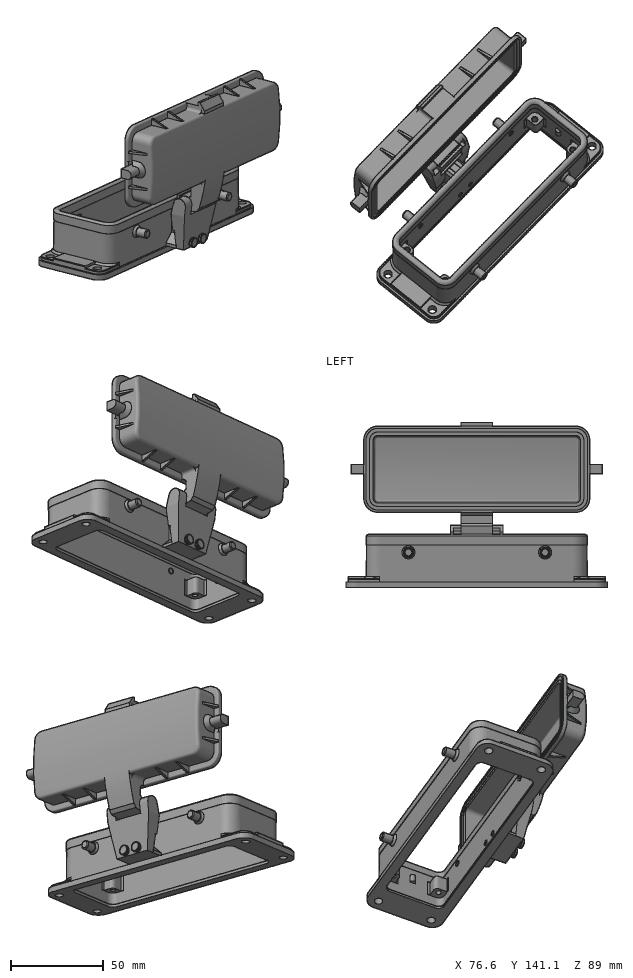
import cadquery as cq
import math


OVERLAP = 1.4

BASE_LENGTH = 141.1
BASE_WIDTH = 45.2
BASE_HEIGHT = 28.8
FLANGE_HEIGHT = 3.1
FLANGE_RADIUS = 6.3
STEP_LENGTH = 138.5
STEP_WIDTH = 42.8
STEP_TOP = 4.8
STEP_RADIUS = 5.0
WALL_LENGTH = 119.4
WALL_WIDTH = 42.8
WALL_RADIUS = 7.3
RIM_START = 23.0
WALL_DRAFT = 0.21
RIM_THICKNESS = 3.7
RIM_CROWN = 1.0
WALL_THICKNESS = 3.8
BOTTOM_LIP_HEIGHT = 1.7
BOTTOM_LIP = 0.3
SKIRT = 1.1
SKIRT_SLOPE = 45
PAD_WIDTH = 21.5
PAD_TOP = 6.0
EDGE_CHAMFER = 0.4
MOUNT_HOLE = 4.5
MOUNT_X = 16.0
MOUNT_Y = 65.0

POST_BOTTOM = 8.3
POST_TOP = 17.8
POST_INNER_X = 10.5
POST_INNER_Y = 49.2
POST_RADIUS = 2.1
POST_FIN = 1.5
POST_FIN_DEPTH = 0.3
POST_HOLE = 2.8
POST_HOLE_RIM = 3.4
POST_HOLE_X = 13.7
POST_HOLE_Y = 51.9
KEY_DIAMETER = 3.2
KEY_BOTTOM = 13.0

PEG_Y = 36.8
PEG_Z = 18.9
PEG_DIAMETER = 4.8
PEG_TIP_X = 28.8
PEG_CHAMFER = 0.5
COLLAR_BIG = 7.0
COLLAR_SMALL = 5.5
COLLAR_END_X = 22.7
PEG_TAIL = 3.2
PEG_TAIL_X = 17.1

BRACKET_BOTTOM = 3.1
BRACKET_FRONT = 28.4
BRACKET_FOOT = 21.3
BRACKET_SLOPE_START = 4.8
BRACKET_SLOPE_END = 9.6
SPINE_WIDTH = 11.0
SPINE_TOP = 23.1
SPINE_CHAMFER = 1.4
SPINE_GROOVE_WIDTH = 4.0
SPINE_GROOVE_DEPTH = 0.5
LUG_X = 27.4
LUG_BOTTOM = 13.7
BRACKET_WIDTH = 28.5
ARM_FOOT_X = 33.2
ARM_SHOULDER_X = 36.5
SHOULDER_Z = 23.8
HEAD_X = 33.2
HEAD_Z = 29.5
HEAD_RADIUS = 4.1
HEAD_TANGENT_RISE = 0.5
PIVOT_DIAMETER = 3.4
POCKET_Y = 12.4
POCKET_BACK_X = 31.7
POCKET_BOTTOM = 28.0
POCKET_TOP = 32.0
RIVET_Y = 4.1
RIVET_Z = 6.0
RIVET_HEAD = 5.5
RIVET_TIP = 4.8
RIVET_END_X = 35.8
RIVET_HEAD_LENGTH = 1.4
RIVET_RECESS = 3.0
RIVET_RECESS_DEPTH = 0.3
RIVET_TIP_LENGTH = 0.3

COVER_Z = 63.8
COVER_FACE_X = 31.3
LIP_BACK_X = 33.9
LIP_EDGE = 0.7
LIP_LENGTH = 121.9
LIP_HEIGHT = 46.5
LIP_RADIUS = 7.6
COVER_BACK_X = 47.8
CROWN_RADIUS = 112.9
SHELL_LENGTH = 115.4
SHELL_HEIGHT = 39.2
SHELL_RADIUS = 4.7
SHELL_EDGE = 1.7
SEAT_INSET = 3.2
SEAT_DEPTH = 0.5
FACE_STEP_INSET = 1.3
FACE_STEP_DEPTH = 0.3
CAVITY_INSET = 5.1
CAVITY_TAPER = 4.5
COVER_WALL = 2.1
FLOOR_FILLET = 0.7
RIB_THICKNESS = 1.3
RIB_TIP_X = 43.7
LONG_RIB_Y = (25.1, 39.5)
END_RIB_Z = 10.0
HINGE_WIDTH = 17.1
EAR_TOP = 33.2
EAR_GROOVE_BOTTOM = 32.5
EAR_GROOVE_X = (28.9, 29.8)
EAR_TIP_X = 27.2
EAR_BOTTOM = 24.0
EAR_INNER_X = 36.5
EAR_ROOT_BEVEL = 1.5
EAR_STEP_BEVEL = 1.3
EAR_FRONT_BEVEL = 0.7
EAR_BEND_X = 40.4
EAR_BEND_Z = 26.1
EAR_BACK_X = 42.5
EAR_BACK_Z = 28.6
TAB_FOOT_FILLET = 1.7
TAB_TOP = 89.0
TAB_EDGE_X = (41.3, 42.8)
TAB_BACK_X = 45.7
TAB_BACK_Z = 85.0
STUB_X = 38.1
STUB_RADIUS = 2.5
STUB_END_Y = 67.7
STUB_ROOT_RADIUS = 4.7
STUB_ROOT_Y = 60.7
STUB_ROOT_SLOPE = 40


def rounded_block(width, length, radius, bottom, top, taper=0):
    """Upright block with rounded vertical corners, centred on the Z axis."""
    outline = cq.Sketch().rect(width, length).vertices().fillet(radius)
    plane = cq.Workplane("XY").workplane(offset=bottom)
    return plane.placeSketch(outline).extrude(top - bottom, taper=taper)


def cover_block(length, height, radius, front, back, taper=0):
    """Block extruded along +X with rounded corners, centred on the cover."""
    outline = cq.Sketch().rect(length, height).vertices().fillet(radius)
    plane = cq.Workplane("YZ", origin=(front, 0, COVER_Z))
    return plane.placeSketch(outline).extrude(back - front, taper=taper)


def box(x_range, y_range, z_range):
    """Plain box between the given limits."""
    sizes = [end - start for start, end in (x_range, y_range, z_range)]
    return cq.Workplane("XY", origin=(x_range[0], y_range[0], z_range[0])).box(*sizes, centered=False)


def side_profile(points, width):
    """Closed XZ outline extruded evenly to both sides of Y = 0."""
    return cq.Workplane("XZ").polyline(points).close().extrude(width / 2, both=True)


def mirrored(solid, *planes):
    """The solid joined with its mirror image in each plane in turn."""
    for plane in planes:
        solid = solid.union(solid.mirror(plane))
    return solid


def round_bar(diameter, x_start, x_end, y, z):
    """Round bar along X."""
    return cq.Workplane("YZ", origin=(x_start, y, z)).circle(diameter / 2).extrude(x_end - x_start)


def make_rim():
    """Upper rim of the base with a rounded top, swept round the opening."""
    outer = WALL_WIDTH / 2
    inner = outer - RIM_THICKNESS
    shoulder = BASE_HEIGHT - RIM_CROWN
    path = rounded_block(WALL_WIDTH, WALL_LENGTH, WALL_RADIUS, 0, RIM_START).faces(">Z").wires()
    path = cq.Workplane("XY").newObject([path.val()])
    section = (
        cq.Workplane("XZ")
        .moveTo(outer, RIM_START)
        .lineTo(outer, shoulder)
        .threePointArc(((outer + inner) / 2, BASE_HEIGHT), (inner, shoulder))
        .lineTo(inner, RIM_START)
        .close()
    )
    return section.sweep(path)


def make_base():
    """Flanged frame with its walls, rim, end pads and mounting holes."""
    draft = math.degrees(math.atan(WALL_DRAFT / (RIM_START - FLANGE_HEIGHT)))
    base = rounded_block(BASE_WIDTH, BASE_LENGTH, FLANGE_RADIUS, 0, FLANGE_HEIGHT)
    step = rounded_block(STEP_WIDTH, STEP_LENGTH, STEP_RADIUS, 0, STEP_TOP).faces(">Z").chamfer(EDGE_CHAMFER)
    walls = rounded_block(WALL_WIDTH, WALL_LENGTH, WALL_RADIUS, FLANGE_HEIGHT, RIM_START, draft)
    skirt = rounded_block(
        WALL_WIDTH + 2 * SKIRT,
        WALL_LENGTH + 2 * SKIRT,
        WALL_RADIUS + SKIRT,
        STEP_TOP,
        STEP_TOP + SKIRT,
        SKIRT_SLOPE,
    )
    skirt = skirt.intersect(rounded_block(STEP_WIDTH, STEP_LENGTH, STEP_RADIUS, 0, BASE_HEIGHT))
    corner_y = WALL_LENGTH / 2 - WALL_RADIUS
    between_corners = box((-BASE_WIDTH, BASE_WIDTH), (-corner_y, corner_y), (0, BASE_HEIGHT))
    step = step.cut(between_corners)
    skirt = skirt.cut(between_corners)
    pads = box((-PAD_WIDTH / 2, PAD_WIDTH / 2), (-STEP_LENGTH / 2, STEP_LENGTH / 2), (0, PAD_TOP))
    pads = pads.edges("|X and >Z").chamfer(EDGE_CHAMFER)
    base = base.union(step).union(walls).union(skirt).union(pads)

    inner_width = WALL_WIDTH - 2 * WALL_THICKNESS
    inner_length = WALL_LENGTH - 2 * WALL_THICKNESS
    inner_radius = WALL_RADIUS - WALL_THICKNESS
    lip_width = inner_width - 2 * BOTTOM_LIP
    lip_length = inner_length - 2 * BOTTOM_LIP
    base = base.cut(rounded_block(inner_width, inner_length, inner_radius, BOTTOM_LIP_HEIGHT, BASE_HEIGHT))
    base = base.cut(rounded_block(lip_width, lip_length, inner_radius, 0, BASE_HEIGHT))
    holes = cq.Workplane("XY").rect(2 * MOUNT_X, 2 * MOUNT_Y, forConstruction=True).vertices()
    return base.cut(holes.circle(MOUNT_HOLE / 2).extrude(BASE_HEIGHT)).union(make_rim())


def make_inner_details():
    """Four screw posts in the corners and a half-round key on each end wall."""
    wall_middle_x = (WALL_WIDTH - WALL_THICKNESS) / 2
    wall_middle_y = (WALL_LENGTH - WALL_THICKNESS) / 2
    post_z = (POST_BOTTOM, POST_TOP)
    post = box((POST_INNER_X, wall_middle_x), (POST_INNER_Y, wall_middle_y), post_z)
    post = post.edges("|Z and <X and <Y").fillet(POST_RADIUS)
    wall_face_x = WALL_WIDTH / 2 - WALL_THICKNESS
    wall_face_y = WALL_LENGTH / 2 - WALL_THICKNESS
    side_fin = box(
        (wall_face_x - POST_FIN_DEPTH, wall_middle_x), (POST_INNER_Y - POST_FIN, wall_middle_y), post_z
    )
    end_fin = box(
        (POST_INNER_X - POST_FIN, wall_middle_x), (wall_face_y - POST_FIN_DEPTH, wall_middle_y), post_z
    )
    post = post.union(side_fin).union(end_fin)
    wall_core = rounded_block(WALL_WIDTH - OVERLAP, WALL_LENGTH - OVERLAP, WALL_RADIUS, 0, BASE_HEIGHT)
    post = post.intersect(wall_core)
    hole = cq.Workplane("XY", origin=(POST_HOLE_X, POST_HOLE_Y, POST_BOTTOM)).circle(POST_HOLE / 2)
    post = post.cut(hole.extrude(POST_TOP - POST_BOTTOM))
    rim = post.faces(">Z").edges("%CIRCLE").edges(cq.selectors.RadiusNthSelector(0))
    post = rim.chamfer((POST_HOLE_RIM - POST_HOLE) / 2)

    key = cq.Workplane("XY", origin=(0, wall_face_y, KEY_BOTTOM)).circle(KEY_DIAMETER / 2)
    key = key.extrude(POST_TOP - KEY_BOTTOM)
    return mirrored(post.union(key), "YZ", "XZ")


def make_pegs():
    """Four locking pegs with conical collars, riveted through the long walls."""
    wall_face = WALL_WIDTH / 2 - WALL_DRAFT
    peg = round_bar(PEG_DIAMETER, wall_face - OVERLAP, PEG_TIP_X, PEG_Y, PEG_Z)
    peg = peg.faces(">X").chamfer(PEG_CHAMFER)
    collar = (
        cq.Workplane("YZ", origin=(wall_face, PEG_Y, PEG_Z))
        .circle(COLLAR_BIG / 2)
        .workplane(offset=COLLAR_END_X - wall_face)
        .circle(COLLAR_SMALL / 2)
        .loft()
    )
    tail = round_bar(PEG_TAIL, PEG_TAIL_X, wall_face, PEG_Y, PEG_Z)
    return mirrored(peg.union(collar).union(tail), "YZ", "XZ")


def make_bracket():
    """Spine against the base wall, carrying an arm with two hinge cheeks."""
    foot = BRACKET_FOOT / 2
    spine_outline = [
        (-foot, BRACKET_BOTTOM),
        (-foot, BRACKET_SLOPE_START),
        (-SPINE_WIDTH / 2, BRACKET_SLOPE_END),
        (-SPINE_WIDTH / 2, SPINE_TOP - SPINE_CHAMFER),
        (-SPINE_WIDTH / 2 + SPINE_CHAMFER, SPINE_TOP),
        (-SPINE_GROOVE_WIDTH / 2, SPINE_TOP),
        (-SPINE_GROOVE_WIDTH / 2, SPINE_TOP - SPINE_GROOVE_DEPTH),
    ]
    spine_outline += [(-y, z) for y, z in reversed(spine_outline)]
    wall_inside = WALL_WIDTH / 2 - OVERLAP
    spine = cq.Workplane("YZ", origin=(wall_inside, 0, 0)).polyline(spine_outline).close()
    spine = spine.extrude(BRACKET_FRONT - wall_inside)

    arm = side_profile(
        [
            (BRACKET_FRONT, BRACKET_BOTTOM),
            (ARM_FOOT_X, BRACKET_BOTTOM),
            (ARM_SHOULDER_X, SHOULDER_Z),
            (HEAD_X + HEAD_RADIUS, HEAD_Z),
            (HEAD_X, HEAD_Z),
            (HEAD_X - HEAD_RADIUS, HEAD_Z + HEAD_TANGENT_RISE),
            (LUG_X, SHOULDER_Z),
            (LUG_X, LUG_BOTTOM),
            (BRACKET_FRONT, LUG_BOTTOM),
        ],
        BRACKET_WIDTH,
    )
    head = cq.Workplane("XZ", origin=(HEAD_X, 0, HEAD_Z)).circle(HEAD_RADIUS)
    arm = arm.union(head.extrude(BRACKET_WIDTH / 2, both=True))
    half = BRACKET_WIDTH / 2
    head_top = HEAD_Z + HEAD_RADIUS
    taper = [
        (-foot, BRACKET_BOTTOM),
        (-half, SHOULDER_Z),
        (-half, head_top),
        (half, head_top),
        (half, SHOULDER_Z),
        (foot, BRACKET_BOTTOM),
    ]
    arm = arm.intersect(cq.Workplane("YZ").polyline(taper).close().extrude(BASE_LENGTH))

    between_cheeks = (-HINGE_WIDTH / 2, HINGE_WIDTH / 2)
    arm = arm.cut(box((0, BASE_LENGTH), between_cheeks, (SHOULDER_Z, head_top)))
    arm = arm.cut(box((0, POCKET_BACK_X), (-POCKET_Y, POCKET_Y), (POCKET_BOTTOM, POCKET_TOP)))
    pivot = cq.Workplane("XZ", origin=(HEAD_X, 0, HEAD_Z)).circle(PIVOT_DIAMETER / 2)
    bracket = spine.union(arm).union(pivot.extrude(POCKET_Y, both=True))
    rivet_shoulder = RIVET_END_X - RIVET_TIP_LENGTH
    for y in (-RIVET_Y, RIVET_Y):
        tip = round_bar(RIVET_TIP, HEAD_X - OVERLAP, RIVET_END_X, y, RIVET_Z)
        rivet_head = round_bar(RIVET_HEAD, RIVET_END_X - RIVET_HEAD_LENGTH, rivet_shoulder, y, RIVET_Z)
        bracket = bracket.union(tip).union(rivet_head)
    return bracket


def make_rivet_recesses():
    """Shallow round marks of the two rivets inside the base wall."""
    inner_face = WALL_WIDTH / 2 - WALL_THICKNESS
    mark = round_bar(RIVET_RECESS, inner_face - OVERLAP, inner_face + RIVET_RECESS_DEPTH, RIVET_Y, RIVET_Z)
    return mirrored(mark, "XZ")


def crown(radius):
    """Large cylinder along Y whose +X side is the curved back of the cover."""
    axis = (COVER_BACK_X - CROWN_RADIUS, 0, COVER_Z)
    return cq.Workplane("XZ", origin=axis).circle(radius).extrude(BASE_LENGTH, both=True)


def make_ribs():
    """Triangular gussets between the cover lip and its shell."""
    shell_top = COVER_Z + SHELL_HEIGHT / 2
    lip_top = COVER_Z + LIP_HEIGHT / 2
    shell_end = SHELL_LENGTH / 2
    lip_end = LIP_LENGTH / 2
    long_rib = [
        (LIP_BACK_X, shell_top - OVERLAP),
        (LIP_BACK_X, lip_top),
        (RIB_TIP_X, shell_top),
        (RIB_TIP_X, shell_top - OVERLAP),
    ]
    end_rib = [
        (LIP_BACK_X, shell_end - OVERLAP),
        (LIP_BACK_X, lip_end),
        (RIB_TIP_X, shell_end),
        (RIB_TIP_X, shell_end - OVERLAP),
    ]
    ribs = None
    for y in LONG_RIB_Y:
        top = side_profile(long_rib, RIB_THICKNESS).translate((0, y, 0))
        bottom = top.mirror("XY", (0, 0, COVER_Z))
        ribs = top.union(bottom) if ribs is None else ribs.union(top).union(bottom)
    for z in (COVER_Z - END_RIB_Z, COVER_Z + END_RIB_Z):
        plane = cq.Workplane("XY", origin=(0, 0, z)).polyline(end_rib).close()
        ribs = ribs.union(plane.extrude(RIB_THICKNESS / 2, both=True))
    return mirrored(ribs, "XZ")


def make_tab():
    """Latch tab on top of the cover, ending in a raised hook edge."""
    lip_top = COVER_Z + LIP_HEIGHT / 2
    edge_front, edge_back = TAB_EDGE_X
    return side_profile(
        [
            (COVER_FACE_X, COVER_Z),
            (COVER_FACE_X, lip_top),
            (edge_front, lip_top),
            (edge_front, TAB_TOP),
            (edge_back, TAB_TOP),
            (TAB_BACK_X, TAB_BACK_Z),
            (TAB_BACK_X, COVER_Z),
        ],
        HINGE_WIDTH,
    )


def make_hinge_ear():
    """Ear below the cover that reaches down between the bracket cheeks."""
    lip_bottom = COVER_Z - LIP_HEIGHT / 2
    groove_front, groove_back = EAR_GROOVE_X
    ear = side_profile(
        [
            (COVER_FACE_X, COVER_Z),
            (COVER_FACE_X, lip_bottom),
            (EAR_INNER_X - EAR_ROOT_BEVEL, lip_bottom),
            (EAR_INNER_X, lip_bottom - EAR_ROOT_BEVEL),
            (EAR_INNER_X, EAR_TOP + EAR_STEP_BEVEL),
            (EAR_INNER_X - EAR_STEP_BEVEL, EAR_TOP),
            (groove_back, EAR_TOP),
            (groove_back, EAR_GROOVE_BOTTOM),
            (groove_front, EAR_GROOVE_BOTTOM),
            (groove_front, EAR_TOP),
            (EAR_TIP_X, EAR_TOP),
            (BRACKET_FRONT, EAR_BOTTOM + EAR_FRONT_BEVEL),
            (BRACKET_FRONT + EAR_FRONT_BEVEL, EAR_BOTTOM),
            (EAR_BEND_X, EAR_BEND_Z),
            (EAR_BACK_X, EAR_BACK_Z),
            (COVER_BACK_X, COVER_Z - SHELL_HEIGHT / 2),
            (COVER_BACK_X, COVER_Z),
        ],
        HINGE_WIDTH,
    )
    return ear.intersect(crown(CROWN_RADIUS))


def make_foot_fillets():
    """Concave fillets where the tab and the ear stand on the shell."""
    side = HINGE_WIDTH / 2
    shell_top = COVER_Z + SHELL_HEIGHT / 2
    fillet = (
        cq.Workplane("YZ", origin=(LIP_BACK_X, side, shell_top))
        .moveTo(-OVERLAP, -OVERLAP)
        .lineTo(TAB_FOOT_FILLET, -OVERLAP)
        .lineTo(TAB_FOOT_FILLET, 0)
        .radiusArc((0, TAB_FOOT_FILLET), TAB_FOOT_FILLET)
        .lineTo(-OVERLAP, TAB_FOOT_FILLET)
        .close()
        .extrude(RIB_TIP_X - LIP_BACK_X)
    )
    fillet = fillet.union(fillet.mirror("XY", (0, 0, COVER_Z)))
    return mirrored(fillet, "XZ")


def d_outline(radius, y):
    """D-shaped outline, flat toward the lip, in the plane across Y."""
    return (
        cq.Workplane("XZ", origin=(0, y, COVER_Z))
        .moveTo(LIP_BACK_X, -radius)
        .lineTo(STUB_X, -radius)
        .threePointArc((STUB_X + radius, 0), (STUB_X, radius))
        .lineTo(LIP_BACK_X, radius)
        .close()
    )


def make_stubs():
    """D-shaped grip stub on each end of the cover, with a conical root."""
    shell_end = SHELL_LENGTH / 2
    stub = d_outline(STUB_RADIUS, STUB_END_Y).extrude(STUB_END_Y - shell_end + OVERLAP)
    root = d_outline(STUB_ROOT_RADIUS, shell_end).extrude(shell_end - STUB_ROOT_Y, taper=STUB_ROOT_SLOPE)
    block = box(
        (COVER_FACE_X, LIP_BACK_X),
        (shell_end - OVERLAP, LIP_LENGTH / 2),
        (COVER_Z - STUB_ROOT_RADIUS, COVER_Z + STUB_ROOT_RADIUS),
    )
    return mirrored(stub.union(root).union(block), "XZ")


def make_cover():
    """Hollow crowned cover with lip, ribs, latch tab, hinge ear and stubs."""
    shell = cover_block(SHELL_LENGTH, SHELL_HEIGHT, SHELL_RADIUS, COVER_FACE_X, COVER_BACK_X + OVERLAP)
    shell = shell.intersect(crown(CROWN_RADIUS)).faces(">X").edges().fillet(SHELL_EDGE)
    shell = shell.union(make_tab()).union(make_hinge_ear()).union(make_foot_fillets())
    lip = cover_block(LIP_LENGTH, LIP_HEIGHT, LIP_RADIUS, COVER_FACE_X, LIP_BACK_X)
    cover = shell.union(lip.faces(">X").edges().fillet(LIP_EDGE))
    cover = cover.union(make_ribs()).union(make_stubs())

    for inset, depth in ((FACE_STEP_INSET, FACE_STEP_DEPTH), (SEAT_INSET, SEAT_DEPTH)):
        recess = cover_block(
            LIP_LENGTH - 2 * inset,
            LIP_HEIGHT - 2 * inset,
            LIP_RADIUS - inset,
            COVER_FACE_X,
            COVER_FACE_X + depth,
        )
        cover = cover.cut(recess)
    cavity = cover_block(
        LIP_LENGTH - 2 * CAVITY_INSET,
        LIP_HEIGHT - 2 * CAVITY_INSET,
        LIP_RADIUS - CAVITY_INSET,
        COVER_FACE_X,
        COVER_BACK_X,
        CAVITY_TAPER,
    )
    cavity = cavity.intersect(crown(CROWN_RADIUS - COVER_WALL))
    return cover.cut(cavity.faces(">X").edges().fillet(FLOOR_FILLET))


housing = make_base().union(make_inner_details()).union(make_pegs()).union(make_bracket())
housing = housing.cut(make_rivet_recesses())
result = housing.union(make_cover())